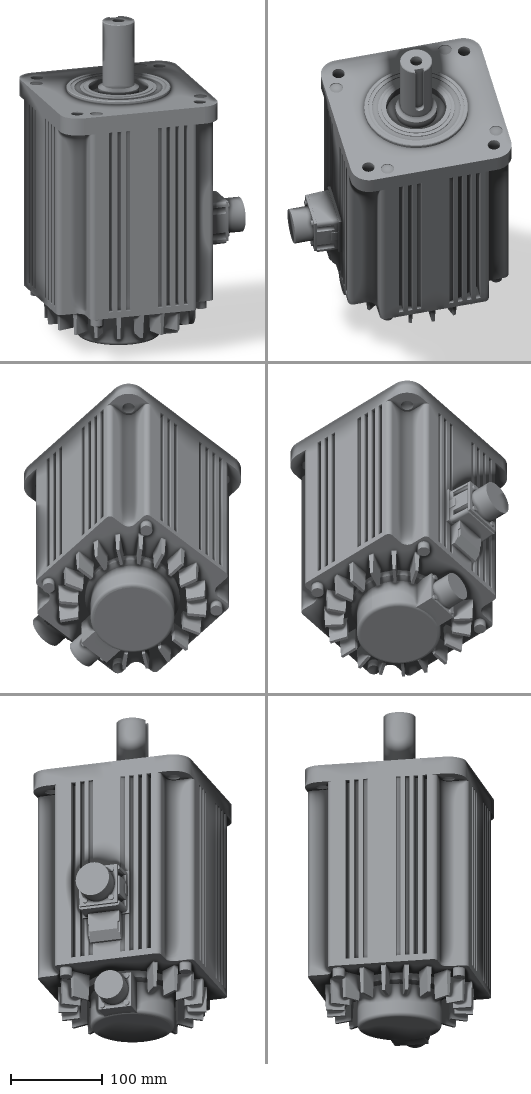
import cadquery as cq
import math

QUARTER_TURNS = (0, 90, 180, 270)

total_length = 358
total_depth = 230.2

flange_side = 180.0
half_side = flange_side / 2
flange_thickness = 19.5
flange_corner_radius = 20.5
bolt_offset = 70.5
bolt_hole_diameter = 13.5
pin_positions = ((51.0, 77.7), (-77.7, 51.0), (-51.0, -77.7), (77.7, -51.0))
pin_recess_diameter = 14.3
pin_recess_depth = 1.0

pilot_height = 4.0
pilot_radius = 57.0
pilot_chamfer = 0.7
pilot_bore_radius = 33.0
pilot_bore_floor = -5.7
ring_recesses = ((52.5, 38.0, 1.0), (48.5, 42.0, 2.0))
shaft_radius = 17.5
shaft_length = 79.0
shaft_chamfer = 0.7
collar_radius = 22.5
collar_edge_z = 3.5
collar_cone_top = 6.5
center_hole_diameter = 13.2
center_hole_depth = 28.5
drill_tip_angle = 118
keyway_width = 10.0
keyway_floor = 12.0
keyway_end_z = 16.5

body_length = 205.0
end_plate_thickness = 7.0
body_bottom = -flange_thickness - body_length
plate_bottom = body_bottom - end_plate_thickness
notch_radius = 9.3
notch_edge_radius = 5.5
core_radius = 88.8
slot_width = 5.0
slot_pitch = 10.0
first_slot = 18.3
slot_positions = [-first_slot - i * slot_pitch for i in range(3)]
slot_positions += [first_slot + i * slot_pitch for i in range(4)]

cover_bottom = shaft_length - total_length
cover_radius = 46.0
cover_fillet = 4.0
cover_collar_radius = 52.0
cover_collar_height = 7.5
cover_cone_height = 3.2
fin_count = 20
fin_gap = (72, 90, 108)
fin_inner_radius = 59.5
fin_outer_radius = 81.5
fin_thickness = 5.5
fin_height = 28.5
fin_draft = 2
screw_diameter = 13.2
screw_height = 9.5

cap_screw_diameter = 6.0
cap_screw_height = 2.0

encoder_z = -258.5
encoder_bottom = -278.0
encoder_height = 2 * (encoder_z - encoder_bottom)
encoder_box_width = 37.5
encoder_box_end = 62.3
encoder_screw_spacing = (28.0, 31.5)
encoder_plug_diameter = 33.0
encoder_plug_end = 83.5

power_z = -155.7
power_plug_diameter = 38.3
power_end = total_depth - half_side
power_base_size = (53.5, 49.5)
power_base_thickness = 3.2
power_box_z = -156.8
power_box_root_width = 50.0
power_box_tip_width = 46.5
power_box_height = 47.5
power_box_corner = 3.2
power_box_end = 116.7
power_cap_size = (43.5, 44.8)
power_cap_end = 119.5
power_screw_spacing = (30.0, 33.0)
channel_radius = 4.0
channel_offset = 14.5
channel_length = 19.5
channel_start = power_box_end - channel_length
side_tab_width = 51.0
side_tab_reach = 10.7
side_tab_height = 12.0
tongue_width = 35.8
tongue_face = 101.5
tongue_bottom = -211.2
tongue_chamfer_width = 7.5
tongue_chamfer_height = 9.5
tongue_recess_depth = 1.5
tongue_recess_floor = 98.8
tongue_recess_top = -193.0
tongue_recess_bottom = -205.5


def cylinder(radius, bottom, top):
    return cq.Workplane("XY").workplane(offset=bottom).circle(radius).extrude(top - bottom)


def toward_plus_y(start_y, z):
    """Sketch plane facing +Y, centred on X = 0 at the given Y and Z."""
    return cq.Workplane(cq.Plane((0, start_y, z), (1, 0, 0), (0, 1, 0)))


def notched_prism(bottom, top):
    """Square prism with its corners notched round the flange bolts and the notch mouths rounded."""
    inner = bolt_offset - notch_radius
    mouth = inner - notch_edge_radius
    ear = half_side - notch_edge_radius
    notch_bend = bolt_offset - notch_radius * math.sqrt(0.5)
    mouth_bend = notch_edge_radius * math.sqrt(0.5)
    corner = (
        cq.Workplane("XY").workplane(offset=bottom)
        .moveTo(mouth, half_side)
        .threePointArc((mouth + mouth_bend, ear + mouth_bend), (inner, ear))
        .lineTo(inner, bolt_offset)
        .threePointArc((notch_bend, notch_bend), (bolt_offset, inner))
        .lineTo(ear, inner)
        .threePointArc((ear + mouth_bend, mouth + mouth_bend), (half_side, mouth))
        .lineTo(half_side, half_side)
        .close().extrude(top - bottom)
    )
    prism = (
        cq.Workplane("XY").workplane(offset=bottom)
        .rect(flange_side, flange_side).extrude(top - bottom)
    )
    for turn in QUARTER_TURNS:
        prism = prism.cut(corner.rotate((0, 0, 0), (0, 0, 1), turn))
    return prism


def make_flange():
    """Rounded square plate with bolt holes and shallow pin recesses."""
    flange = (
        cq.Workplane("XY").rect(flange_side, flange_side).extrude(-flange_thickness)
        .edges("|Z").fillet(flange_corner_radius)
    )
    bolt_holes = (
        cq.Workplane("XY").rect(2 * bolt_offset, 2 * bolt_offset, forConstruction=True)
        .vertices().circle(bolt_hole_diameter / 2).extrude(-flange_thickness)
    )
    pin_recesses = (
        cq.Workplane("XY").pushPoints(pin_positions)
        .circle(pin_recess_diameter / 2).extrude(-pin_recess_depth)
    )
    return flange.cut(bolt_holes).cut(pin_recesses)


def add_pilot(motor):
    """Centring pilot with stepped ring recesses and an open bore round the shaft."""
    pilot = cylinder(pilot_radius, 0, pilot_height).faces(">Z").edges().chamfer(pilot_chamfer)
    for outer_radius, inner_radius, depth in ring_recesses:
        ring = cylinder(outer_radius, pilot_height - depth, pilot_height)
        ring = ring.cut(cylinder(inner_radius, pilot_height - depth, pilot_height))
        pilot = pilot.cut(ring)
    bore = cylinder(pilot_bore_radius, pilot_bore_floor, pilot_height)
    return motor.union(pilot, clean=False).cut(bore, clean=False)


def make_shaft():
    """Shaft with a conical shoulder, a drilled centre hole and a keyway open at the free end."""
    shaft = (
        cq.Workplane("XZ")
        .moveTo(0, -flange_thickness)
        .lineTo(collar_radius, -flange_thickness)
        .lineTo(collar_radius, collar_edge_z)
        .lineTo(shaft_radius, collar_cone_top)
        .lineTo(shaft_radius, shaft_length - shaft_chamfer)
        .lineTo(shaft_radius - shaft_chamfer, shaft_length)
        .lineTo(0, shaft_length)
        .close().revolve(360, (0, 0, 0), (0, 1, 0))
    )
    half_key = keyway_width / 2
    keyway = (
        cq.Workplane("YZ").workplane(offset=-shaft_radius)
        .moveTo(-half_key, shaft_length)
        .lineTo(-half_key, keyway_end_z + half_key)
        .threePointArc((0, keyway_end_z), (half_key, keyway_end_z + half_key))
        .lineTo(half_key, shaft_length)
        .close().extrude(shaft_radius - keyway_floor)
    )
    hole_radius = center_hole_diameter / 2
    hole_floor = shaft_length - center_hole_depth
    tip_depth = hole_radius / math.tan(math.radians(drill_tip_angle / 2))
    center_hole = (
        cq.Workplane("XZ")
        .moveTo(0, hole_floor - tip_depth)
        .lineTo(hole_radius, hole_floor)
        .lineTo(hole_radius, shaft_length)
        .lineTo(0, shaft_length)
        .close().revolve(360, (0, 0, 0), (0, 1, 0))
    )
    return shaft.cut(keyway).cut(center_hole)


def make_body():
    """Finned housing: straight slots in each side, all bottoming on a common round core."""
    body = notched_prism(body_bottom, -flange_thickness)
    slots = (
        cq.Workplane("XY").workplane(offset=body_bottom)
        .pushPoints([(x, -half_side) for x in slot_positions])
        .rect(slot_width, half_side).extrude(body_length)
        .cut(cylinder(core_radius, body_bottom, -flange_thickness))
    )
    for turn in QUARTER_TURNS:
        body = body.cut(slots.rotate((0, 0, 0), (0, 0, 1), turn))
    return body


def make_rear_end():
    """End plate carrying screw heads, radial cooling fins and the round rear cover."""
    rear = notched_prism(plate_bottom, body_bottom)
    collar_end = plate_bottom - cover_collar_height
    cone = (
        cq.Workplane("XY").workplane(offset=collar_end).circle(cover_collar_radius)
        .workplane(offset=-cover_cone_height).circle(cover_radius).loft()
    )
    cover = cylinder(cover_radius, cover_bottom, plate_bottom).faces("<Z").edges().fillet(cover_fillet)
    rear = rear.union(cover).union(cylinder(cover_collar_radius, collar_end, plate_bottom)).union(cone)

    screws = (
        cq.Workplane("XY").workplane(offset=plate_bottom).pushPoints(pin_positions)
        .circle(screw_diameter / 2).extrude(-screw_height)
    )
    rear = rear.union(screws)

    fin = (
        cq.Workplane("XY").workplane(offset=plate_bottom)
        .center((fin_inner_radius + fin_outer_radius) / 2, 0)
        .rect(fin_outer_radius - fin_inner_radius, fin_thickness)
        .extrude(-fin_height, taper=fin_draft)
    )
    for i in range(fin_count):
        angle = i * 360 // fin_count
        if angle not in fin_gap:
            rear = rear.union(fin.rotate((0, 0, 0), (0, 0, 1), angle))
    return rear


def cap_screws(start_y, z, spacing):
    """Four screw heads at the corners of a connector cap."""
    return (
        toward_plus_y(start_y, z).rect(*spacing, forConstruction=True)
        .vertices().circle(cap_screw_diameter / 2).extrude(cap_screw_height)
    )


def make_encoder_connector():
    """Box growing out of the rear cover, ending in a round plug."""
    box = toward_plus_y(0, encoder_z).rect(encoder_box_width, encoder_height).extrude(encoder_box_end)
    plug = toward_plus_y(0, encoder_z).circle(encoder_plug_diameter / 2).extrude(encoder_plug_end)
    screws = cap_screws(encoder_box_end, encoder_z, encoder_screw_spacing)
    return box.union(plug).union(screws)


def make_power_connector():
    """Socket housing: base, drafted box with screw channels, cap with screws, round plug, tongue."""
    base = toward_plus_y(half_side, power_box_z).rect(*power_base_size).extrude(power_base_thickness)
    half_root = power_box_root_width / 2
    half_tip = power_box_tip_width / 2
    box = (
        cq.Workplane("XY").workplane(offset=power_box_z - power_box_height / 2)
        .moveTo(-half_root, half_side)
        .lineTo(half_root, half_side)
        .lineTo(half_tip, power_box_end)
        .lineTo(-half_tip, power_box_end)
        .close().extrude(power_box_height)
        .faces("<X or >X").edges("#Z").fillet(power_box_corner)
    )
    channels = (
        toward_plus_y(channel_start, power_box_z)
        .rect(power_box_tip_width, 2 * channel_offset, forConstruction=True)
        .vertices().circle(channel_radius).extrude(power_box_end - channel_start)
    )
    cap = toward_plus_y(power_box_end, power_z).rect(*power_cap_size).extrude(power_cap_end - power_box_end)
    screws = cap_screws(power_cap_end, power_z, power_screw_spacing)
    plug = (
        toward_plus_y(power_box_end, power_z)
        .circle(power_plug_diameter / 2).extrude(power_end - power_box_end)
    )
    side_tabs = (
        toward_plus_y(half_side, power_z)
        .rect(side_tab_width, side_tab_height).extrude(side_tab_reach)
    )
    tongue = (
        cq.Workplane("YZ")
        .moveTo(half_side, power_z)
        .lineTo(tongue_face, power_z)
        .lineTo(tongue_face, tongue_bottom + tongue_chamfer_height)
        .lineTo(tongue_face - tongue_chamfer_width, tongue_bottom)
        .lineTo(half_side, tongue_bottom)
        .close().extrude(tongue_width / 2, both=True)
    )
    recess_reach = tongue_face - tongue_recess_floor
    tongue_recesses = (
        toward_plus_y(tongue_recess_floor, (tongue_recess_top + tongue_recess_bottom) / 2)
        .pushPoints([(-tongue_width / 2, 0), (tongue_width / 2, 0)])
        .rect(2 * tongue_recess_depth, tongue_recess_top - tongue_recess_bottom).extrude(recess_reach)
    )
    tongue = tongue.cut(tongue_recesses)
    housing = box.cut(channels)
    for piece in (base, cap, screws, plug, side_tabs, tongue):
        housing = housing.union(piece)
    return housing


result = make_flange().union(make_body(), clean=False)
for part in (make_rear_end(), make_encoder_connector(), make_power_connector()):
    result = result.union(part, clean=False)
result = add_pilot(result).union(make_shaft(), clean=False)